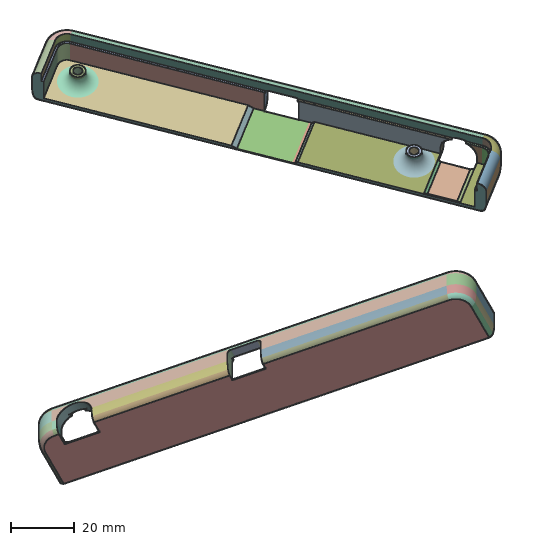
import cadquery as cq

LENGTH = 150.3
DEPTH = 21.0
HEIGHT = 13.5
CORNER_RADIUS = 7.0

RIM_THICKNESS = 3.2
WALL_THICKNESS = 3.9
LEDGE_Z = 9.8
TOP_ROUND = 3.0
LOWER_CURVE_Z = 5.1
LOWER_CURVE_INSET = 0.5
BOTTOM_ROUND_Z = 1.5
BOTTOM_INSET = 1.8

FLOOR_THICKNESS = 1.4
THIN_FLOOR = 0.5
RECESS_CENTER_X = 77.0
RECESS_TOP_WIDTH = 22.0
RECESS_BOTTOM_WIDTH = 18.3
RECESS_BREAK_X = 87.0
RECESS_BREAK_Z = 0.6

WINDOW_WIDTH = 11.4
WINDOW_TOP_Z = 10.0
WINDOW_ROUND = 1.2

PORT_X = 135.5
PORT_RADIUS = 6.0
PORT_TOP_Z = 10.2
PORT_FLOOR_GAP = 6.3
DISH_LEFT_SLOPE = 0.9
DISH_RIGHT_SLOPE = 1.4
DISH_FRONT_START = 0.3
DISH_FRONT_END = 1.2

POST_CENTERS = [(12.0, 9.8), (122.6, 11.5)]
POST_RADIUS = 5.0 / 2
POST_HOLE_RADIUS = 3.0 / 2
POST_TOP_Z = 6.6
FLARE_RADIUS = 4.0

CUT_MARGIN = 1.5
INNER_BACK_Y = DEPTH - WALL_THICKNESS


def u_outline(inset):
    """Plan outline of the end and back walls, moved inward by inset."""
    radius = CORNER_RADIUS - inset
    diagonal = radius * 0.5 ** 0.5
    corner_y = DEPTH - CORNER_RADIUS
    right_corner_x = LENGTH - CORNER_RADIUS
    return (
        cq.Workplane("XY")
        .moveTo(inset, 0)
        .lineTo(inset, corner_y)
        .threePointArc(
            (CORNER_RADIUS - diagonal, corner_y + diagonal),
            (CORNER_RADIUS, DEPTH - inset),
        )
        .lineTo(right_corner_x, DEPTH - inset)
        .threePointArc(
            (right_corner_x + diagonal, corner_y + diagonal),
            (LENGTH - inset, corner_y),
        )
        .lineTo(LENGTH - inset, 0)
    )


def make_wall():
    """Stepped wall section swept around the two ends and the back."""
    section = (
        cq.Workplane("XZ")
        .moveTo(RIM_THICKNESS, HEIGHT)
        .lineTo(TOP_ROUND, HEIGHT)
        .radiusArc((0, HEIGHT - TOP_ROUND), -TOP_ROUND)
        .lineTo(0, LOWER_CURVE_Z)
        .tangentArcPoint((LOWER_CURVE_INSET, BOTTOM_ROUND_Z), relative=False)
        .tangentArcPoint((BOTTOM_INSET, 0), relative=False)
        .lineTo(WALL_THICKNESS, 0)
        .lineTo(WALL_THICKNESS, LEDGE_Z)
        .lineTo(RIM_THICKNESS, LEDGE_Z)
        .close()
    )
    return section.sweep(u_outline(0))


def make_floor():
    return u_outline(BOTTOM_INSET).close().extrude(FLOOR_THICKNESS)


def make_post(x, y):
    """Post with a concave flare that blends it into the floor."""
    flare_top_z = FLOOR_THICKNESS + FLARE_RADIUS
    return (
        cq.Workplane("XZ")
        .moveTo(0, 0)
        .lineTo(POST_RADIUS + FLARE_RADIUS, 0)
        .lineTo(POST_RADIUS + FLARE_RADIUS, FLOOR_THICKNESS)
        .radiusArc((POST_RADIUS, flare_top_z), FLARE_RADIUS)
        .lineTo(POST_RADIUS, POST_TOP_Z)
        .lineTo(0, POST_TOP_Z)
        .close()
        .revolve(360, (0, 0, 0), (0, 1, 0))
        .translate((x, y, 0))
    )


def make_post_hole(x, y):
    return (
        cq.Workplane("XY", origin=(x, y, FLOOR_THICKNESS))
        .circle(POST_HOLE_RADIUS)
        .extrude(POST_TOP_Z)
    )


def make_center_recess():
    """Shallow recess with sloped ends, running from the front to the back wall."""
    half_top = RECESS_TOP_WIDTH / 2
    half_bottom = RECESS_BOTTOM_WIDTH / 2
    return (
        cq.Workplane("XZ", origin=(RECESS_CENTER_X, 0, 0))
        .polyline([
            (-half_top, FLOOR_THICKNESS),
            (-half_bottom, THIN_FLOOR),
            (half_bottom, THIN_FLOOR),
            (RECESS_BREAK_X - RECESS_CENTER_X, RECESS_BREAK_Z),
            (half_top, FLOOR_THICKNESS),
        ])
        .close()
        .extrude(-INNER_BACK_Y)
    )


def make_window():
    window_height = WINDOW_TOP_Z + CUT_MARGIN
    return (
        cq.Workplane("XY", origin=(RECESS_CENTER_X, INNER_BACK_Y, -CUT_MARGIN))
        .box(WINDOW_WIDTH, WALL_THICKNESS + CUT_MARGIN, window_height, centered=(True, False, False))
        .edges("|Y and >Z")
        .fillet(WINDOW_ROUND)
    )


def make_port():
    """Arched opening through the back wall and the floor just in front of it."""
    spring_z = PORT_TOP_Z - PORT_RADIUS
    arch = (
        cq.Workplane("XZ", origin=(PORT_X, INNER_BACK_Y, 0))
        .moveTo(-PORT_RADIUS, -CUT_MARGIN)
        .lineTo(-PORT_RADIUS, spring_z)
        .threePointArc((0, PORT_TOP_Z), (PORT_RADIUS, spring_z))
        .lineTo(PORT_RADIUS, -CUT_MARGIN)
        .close()
        .extrude(-WALL_THICKNESS - CUT_MARGIN)
    )
    floor_gap = (
        cq.Workplane("XY", origin=(PORT_X, DEPTH - PORT_FLOOR_GAP, -CUT_MARGIN))
        .box(2 * PORT_RADIUS, PORT_FLOOR_GAP, FLOOR_THICKNESS + CUT_MARGIN, centered=(True, False, False))
    )
    left_x = PORT_X - PORT_RADIUS
    right_x = PORT_X + PORT_RADIUS
    dish = (
        cq.Workplane("XY", origin=(0, 0, THIN_FLOOR))
        .polyline([
            (left_x + DISH_LEFT_SLOPE, DISH_FRONT_END),
            (right_x - DISH_RIGHT_SLOPE, DISH_FRONT_END),
            (right_x - DISH_RIGHT_SLOPE, INNER_BACK_Y),
            (left_x + DISH_LEFT_SLOPE, INNER_BACK_Y),
        ])
        .close()
        .workplane(offset=FLOOR_THICKNESS - THIN_FLOOR)
        .polyline([
            (left_x, DISH_FRONT_START),
            (right_x, DISH_FRONT_START),
            (right_x, INNER_BACK_Y),
            (left_x, INNER_BACK_Y),
        ])
        .close()
        .loft(ruled=True)
    )
    return arch.union(floor_gap).union(dish)


result = make_wall().union(make_floor())
for post_x, post_y in POST_CENTERS:
    result = result.union(make_post(post_x, post_y))
    result = result.cut(make_post_hole(post_x, post_y))
result = result.cut(make_center_recess()).cut(make_window()).cut(make_port())